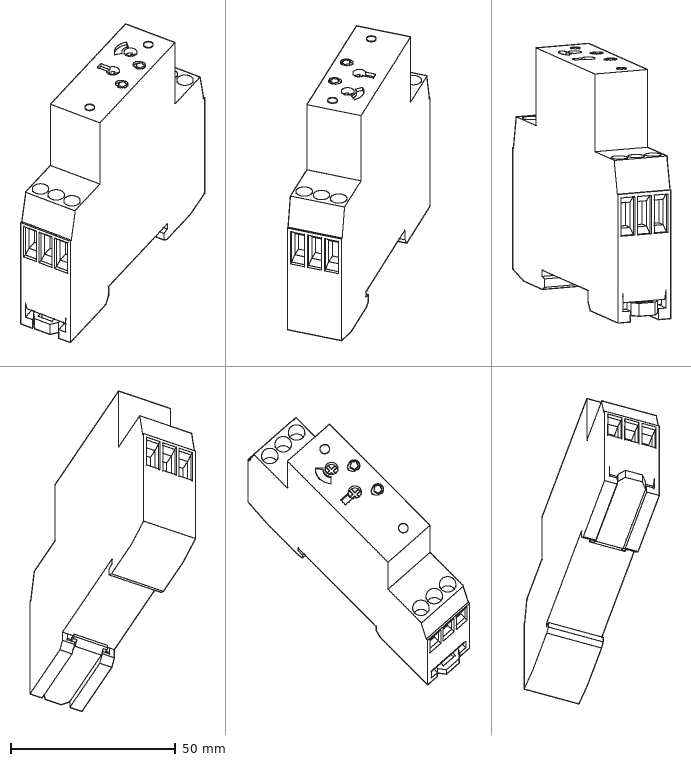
import cadquery as cq
import math

WIDTH = 17.5
DEPTH = 80.0
HEIGHT = 74.0
SHOULDER_HEIGHT = 49.95
TOWER_START = 17.6
TOWER_END = DEPTH - TOWER_START
LEDGE_HEIGHT = 39.9
LEDGE_DEPTH = 0.6
SHOULDER_INSET = 2.7
SLOPE_TOP = 48.65

RAIL_CEILING = 6.0
RAIL_FRONT = 22.9
RAIL_BACK = 57.7
FRONT_FOOT_EDGE = 21.1
FRONT_FOOT_RISE = 2.45
HOOK_TIP = 55.8
HOOK_TOP = 3.6
HOOK_ROOT = 4.0
HOOK_CHAMFER_START = 57.4
HOOK_CHAMFER = 1.0
BACK_BEVEL_START = 71.5
BACK_BEVEL_RISE = 2.3

SCREW_HOLE_PITCH = 5.6
FUNNEL_PITCH = 5.5
SCREW_HOLE_DIAMETER = 5.0
SCREW_HOLE_INSET = 6.4
SCREW_HOLE_DEPTH = 8.2
FUNNEL_WIDTH = 4.5
FUNNEL_BOTTOM = 26.9
FUNNEL_TOP = 38.7
FUNNEL_HEIGHT = FUNNEL_TOP - FUNNEL_BOTTOM
FUNNEL_MIDDLE = (FUNNEL_TOP + FUNNEL_BOTTOM) / 2
FUNNEL_MOUTH_DEPTH = 1.1
FUNNEL_TAPER_DEPTH = 1.2
FUNNEL_THROAT_WIDTH = 3.35
FUNNEL_THROAT_HEIGHT = 7.9
FUNNEL_THROAT_DEPTH = 3.3

POCKET_WIDTH = 14.25
POCKET_FLOOR = 3.4
POCKET_MOUTH_TOP = 9.0
POCKET_BEVEL_DEPTH = 1.0
CHANNEL_WIDTH = 9.3
CLIP_WIDTH = 8.85
CLIP_BOTTOM = 2.0
CLIP_OVERHANG = 1.9
CLIP_TIP_WIDTH = 5.4
CLIP_FLARE_END = 0.25
CLIP_PLATE_START = 3.3
CLIP_PLATE_BOTTOM = 4.0
CLIP_RIB_WIDTH = 11.3
NOSE_TIP = 24.65
NOSE_TOP = 4.9
NOSE_EDGE = 3.9
CLIP_SLOT_WIDTH = 4.9
CLIP_SLOT_START = -0.3
CLIP_SLOT_LENGTH = 2.45
CLIP_SLOT_DEPTH = 2.9

LAMP_X = 2.2
LAMP_DIAMETER = 2.95
LAMP_DEPTH = 0.8
LAMP_RECESS = 0.25
LAMP_INSET = 22.5
LAMP_ROWS = (LAMP_INSET, DEPTH - LAMP_INSET)

DIAL_X = -0.6
SECTOR_DIAL_Y = 51.5
SLOT_DIAL_Y = 41.1
DIAL_ROWS = (SECTOR_DIAL_Y, SLOT_DIAL_Y)
DIAL_DIAMETER = 3.9
DIAL_RECESS = 2.0
DIAL_THICKNESS = 1.6
CROSS_WIDTH = 0.8
CROSS_DEPTH = 0.4
WINDOW_REACH = 4.9
WINDOW_DEPTH = 1.1
SECTOR_INNER_RADIUS = 2.6
SECTOR_HALF_ANGLE = math.radians(45)
WINDOW_SLOT_WIDTH = 2.1

SELECTOR_X = 5.2
SELECTOR_ROWS = (47.6, 37.0)
SELECTOR_HOLE_DIAMETER = 3.4
SELECTOR_HOLE_DEPTH = 0.8
SELECTOR_POST_DIAMETER = 2.7
SELECTOR_SIDES = 5
SELECTOR_NOTCH_DIAMETER = 2.95
SELECTOR_NOTCH_SHIFT = 0.7


def block(x_size, y_start, y_end, z_start, z_end):
    """A box centred on X = 0 that spans the given Y and Z ranges."""
    box = cq.Workplane("XY").box(x_size, y_end - y_start, z_end - z_start, centered=(True, False, False))
    return box.translate((0, y_start, z_start))


def side_prism(points, width):
    """A (Y, Z) outline extruded evenly to both sides of X = 0."""
    return cq.Workplane("YZ").polyline(points).close().extrude(width / 2, both=True)


def top_cylinder(x, y, diameter, z_top, height):
    """A vertical cylinder that hangs down from z_top."""
    return cq.Workplane("XY", origin=(x, y, z_top)).circle(diameter / 2).extrude(-height)


def columns(pitch):
    """X positions of three evenly spaced terminals."""
    return (-pitch, 0, pitch)


def housing_blank():
    outline = [
        (0, 0),
        (0, LEDGE_HEIGHT),
        (LEDGE_DEPTH, LEDGE_HEIGHT),
        (SHOULDER_INSET, SLOPE_TOP),
        (SHOULDER_INSET, SHOULDER_HEIGHT),
        (TOWER_START, SHOULDER_HEIGHT),
        (TOWER_START, HEIGHT),
        (TOWER_END, HEIGHT),
        (TOWER_END, SHOULDER_HEIGHT),
        (DEPTH - SHOULDER_INSET, SHOULDER_HEIGHT),
        (DEPTH - LEDGE_DEPTH, LEDGE_HEIGHT),
        (DEPTH, LEDGE_HEIGHT),
        (DEPTH, BACK_BEVEL_RISE),
        (BACK_BEVEL_START, 0),
        (HOOK_CHAMFER_START, 0),
        (HOOK_TIP, HOOK_CHAMFER),
        (HOOK_TIP, HOOK_TOP),
        (RAIL_BACK, HOOK_ROOT),
        (RAIL_BACK, RAIL_CEILING),
        (RAIL_FRONT, RAIL_CEILING),
        (RAIL_FRONT, FRONT_FOOT_RISE),
        (FRONT_FOOT_EDGE, 0),
    ]
    return side_prism(outline, WIDTH)


def screw_holes():
    rows = (SCREW_HOLE_INSET, DEPTH - SCREW_HOLE_INSET)
    centers = [(x, y) for x in columns(SCREW_HOLE_PITCH) for y in rows]
    plane = cq.Workplane("XY", origin=(0, 0, SHOULDER_HEIGHT))
    return plane.pushPoints(centers).circle(SCREW_HOLE_DIAMETER / 2).extrude(-SCREW_HOLE_DEPTH)


def wire_funnel(x):
    """A straight mouth, a taper and a straight throat, cut from the -Y face."""
    taper_end = FUNNEL_MOUTH_DEPTH + FUNNEL_TAPER_DEPTH
    mouth_plane = cq.Workplane("XZ", origin=(x, 0, FUNNEL_MIDDLE))
    mouth = mouth_plane.rect(FUNNEL_WIDTH, FUNNEL_HEIGHT).extrude(-FUNNEL_MOUTH_DEPTH)
    taper = (
        cq.Workplane("XZ", origin=(x, FUNNEL_MOUTH_DEPTH, FUNNEL_MIDDLE))
        .rect(FUNNEL_WIDTH, FUNNEL_HEIGHT)
        .workplane(offset=-FUNNEL_TAPER_DEPTH)
        .rect(FUNNEL_THROAT_WIDTH, FUNNEL_THROAT_HEIGHT)
        .loft(ruled=True)
    )
    throat_plane = cq.Workplane("XZ", origin=(x, taper_end, FUNNEL_MIDDLE))
    throat = throat_plane.rect(FUNNEL_THROAT_WIDTH, FUNNEL_THROAT_HEIGHT).extrude(-FUNNEL_THROAT_DEPTH)
    return mouth.union(taper).union(throat)


def clip_pocket():
    """A wide pocket with a bevelled mouth above a narrower channel that is open below."""
    outline = [
        (0, POCKET_FLOOR),
        (0, POCKET_MOUTH_TOP),
        (POCKET_BEVEL_DEPTH, RAIL_CEILING),
        (RAIL_FRONT, RAIL_CEILING),
        (RAIL_FRONT, POCKET_FLOOR),
    ]
    channel = block(CHANNEL_WIDTH, 0, RAIL_FRONT, 0, POCKET_FLOOR)
    return side_prism(outline, POCKET_WIDTH).union(channel)


def sector_window():
    """A ring sector on the -X side of its dial."""

    def polar(radius, angle):
        return (DIAL_X + radius * math.cos(angle), SECTOR_DIAL_Y + radius * math.sin(angle))

    start = math.pi - SECTOR_HALF_ANGLE
    end = math.pi + SECTOR_HALF_ANGLE
    return (
        cq.Workplane("XY", origin=(0, 0, HEIGHT))
        .moveTo(*polar(WINDOW_REACH, start))
        .threePointArc(polar(WINDOW_REACH, math.pi), polar(WINDOW_REACH, end))
        .lineTo(*polar(SECTOR_INNER_RADIUS, end))
        .threePointArc(polar(SECTOR_INNER_RADIUS, math.pi), polar(SECTOR_INNER_RADIUS, start))
        .close()
        .extrude(-WINDOW_DEPTH)
    )


def slot_window():
    """A straight slot that runs from its dial towards -X."""
    plane = cq.Workplane("XY", origin=(DIAL_X - WINDOW_REACH / 2, SLOT_DIAL_Y, HEIGHT))
    return plane.rect(WINDOW_REACH, WINDOW_SLOT_WIDTH).extrude(-WINDOW_DEPTH)


def selector_recess(y):
    """A round hole with a pointer notch on its -X side."""
    hole = top_cylinder(SELECTOR_X, y, SELECTOR_HOLE_DIAMETER, HEIGHT, SELECTOR_HOLE_DEPTH)
    notch_x = SELECTOR_X - SELECTOR_NOTCH_SHIFT
    return hole.union(top_cylinder(notch_x, y, SELECTOR_NOTCH_DIAMETER, HEIGHT, SELECTOR_HOLE_DEPTH))


def make_housing():
    body = housing_blank().cut(screw_holes()).cut(clip_pocket())
    for x in columns(FUNNEL_PITCH):
        funnel = wire_funnel(x)
        body = body.cut(funnel).cut(funnel.mirror("XZ", (0, DEPTH / 2, 0)))
    for y in LAMP_ROWS:
        body = body.cut(top_cylinder(LAMP_X, y, LAMP_DIAMETER, HEIGHT, LAMP_DEPTH))
    for y in DIAL_ROWS:
        body = body.cut(top_cylinder(DIAL_X, y, DIAL_DIAMETER, HEIGHT, DIAL_RECESS + DIAL_THICKNESS))
    for y in SELECTOR_ROWS:
        body = body.cut(selector_recess(y))
    return body.cut(sector_window()).cut(slot_window())


def nose_slope_y(z):
    """Y of the 45 degree underside of the clip nose at height z."""
    return NOSE_TIP - (NOSE_EDGE - z)


def make_clip():
    """A sliding foot with a flared finger tip at -Y and a rail nose at +Y."""
    finger_outline = [
        (-CLIP_TIP_WIDTH / 2, -CLIP_OVERHANG),
        (CLIP_TIP_WIDTH / 2, -CLIP_OVERHANG),
        (CLIP_WIDTH / 2, CLIP_FLARE_END),
        (CLIP_WIDTH / 2, CLIP_PLATE_START),
        (-CLIP_WIDTH / 2, CLIP_PLATE_START),
        (-CLIP_WIDTH / 2, CLIP_FLARE_END),
    ]
    finger_plane = cq.Workplane("XY", origin=(0, 0, CLIP_BOTTOM))
    finger = finger_plane.polyline(finger_outline).close().extrude(RAIL_CEILING - CLIP_BOTTOM)
    plate = block(POCKET_WIDTH, CLIP_PLATE_START, RAIL_FRONT, CLIP_PLATE_BOTTOM, RAIL_CEILING)
    rib_end = nose_slope_y(POCKET_FLOOR)
    rib_outline = [
        (CLIP_PLATE_START, POCKET_FLOOR),
        (CLIP_PLATE_START, NOSE_TOP),
        (NOSE_TIP, NOSE_TOP),
        (NOSE_TIP, NOSE_EDGE),
        (rib_end, POCKET_FLOOR),
    ]
    rib = side_prism(rib_outline, CLIP_RIB_WIDTH)
    keel_outline = [
        (CLIP_PLATE_START, CLIP_BOTTOM),
        (CLIP_PLATE_START, POCKET_FLOOR),
        (rib_end, POCKET_FLOOR),
        (nose_slope_y(CLIP_BOTTOM), CLIP_BOTTOM),
    ]
    keel = side_prism(keel_outline, CLIP_WIDTH)
    slot_end = CLIP_SLOT_START + CLIP_SLOT_LENGTH
    slot = block(CLIP_SLOT_WIDTH, CLIP_SLOT_START, slot_end, RAIL_CEILING - CLIP_SLOT_DEPTH, RAIL_CEILING)
    return finger.union(plate).union(rib).union(keel).cut(slot)


def make_lamp(y):
    """A round light window sunk slightly below the top face."""
    return top_cylinder(LAMP_X, y, LAMP_DIAMETER, HEIGHT - LAMP_RECESS, LAMP_DEPTH - LAMP_RECESS)


def make_dial(y):
    """A sunken round dial with a cross-shaped driver slot."""
    dial_top = HEIGHT - DIAL_RECESS
    dial = top_cylinder(DIAL_X, y, DIAL_DIAMETER, dial_top, DIAL_THICKNESS)
    plane = cq.Workplane("XY", origin=(DIAL_X, y, dial_top))
    for x_size, y_size in ((DIAL_DIAMETER, CROSS_WIDTH), (CROSS_WIDTH, DIAL_DIAMETER)):
        dial = dial.cut(plane.rect(x_size, y_size).extrude(-CROSS_DEPTH))
    return dial


def make_selector(y):
    """A five-sided post that stands in its hole, flush with the top face."""
    plane = cq.Workplane("XY", origin=(SELECTOR_X, y, HEIGHT)).transformed(rotate=(0, 0, 90))
    return plane.polygon(SELECTOR_SIDES, SELECTOR_POST_DIAMETER).extrude(-SELECTOR_HOLE_DEPTH)


housing = make_housing()
clip = make_clip()
lamps = [make_lamp(y).val() for y in LAMP_ROWS]
dials = [make_dial(y).val() for y in DIAL_ROWS]
selectors = [make_selector(y).val() for y in SELECTOR_ROWS]

result = cq.Compound.makeCompound([housing.val(), clip.val(), *lamps, *dials, *selectors])